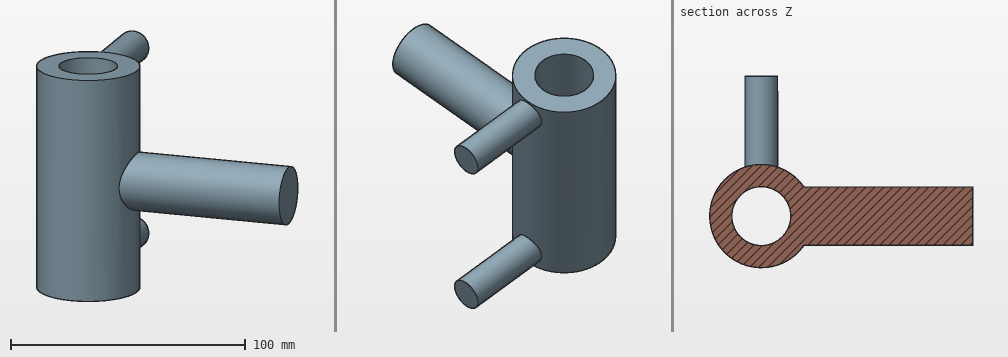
import cadquery as cq

tube_diameter = 44.0
bore_diameter = 25.0
tube_height = 98.0

overall_length_x = 112.0
arm_diameter = bore_diameter
arm_reach = overall_length_x - tube_diameter / 2

overall_length_y = 81.5
pin_diameter = 14.0
pin_end_offset = 8.0
pin_reach = overall_length_y - tube_diameter / 2
pin_height = tube_height / 2 - pin_end_offset


def rod(start, direction, diameter, length):
    """Solid round rod running from start along direction."""
    return cq.Workplane(
        cq.Solid.makeCylinder(diameter / 2, length, cq.Vector(*start), cq.Vector(*direction))
    )


body = cq.Workplane("XY").circle(tube_diameter / 2).extrude(tube_height / 2, both=True)
body = body.union(rod((0, 0, 0), (1, 0, 0), arm_diameter, arm_reach))
for z in (-pin_height, pin_height):
    body = body.union(rod((0, 0, z), (0, 1, 0), pin_diameter, pin_reach))

bore = cq.Workplane("XY").circle(bore_diameter / 2).extrude(tube_height / 2, both=True)
result = body.cut(bore)